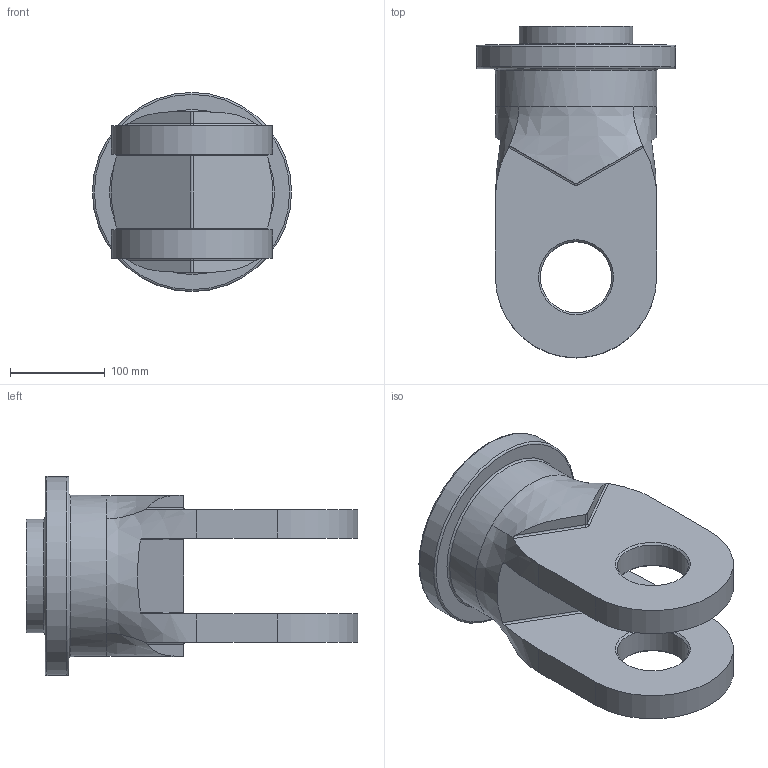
import cadquery as cq
import math

SPIGOT_LENGTH = 20.0
FLANGE_LENGTH = 25.0
NECK_LENGTH = 40.0
TRANSITION_LENGTH = 95.0
EAR_STRAIGHT_LENGTH = 85.0

SPIGOT_DIAMETER = 120.0
FLANGE_DIAMETER = 210.0
NECK_DIAMETER = 170.0
NECK_RADIUS = NECK_DIAMETER / 2

EAR_GAP = 80.0
EAR_THICKNESS = 30.0
EAR_OUTER_Z = EAR_GAP / 2 + EAR_THICKNESS
PIN_HOLE_DIAMETER = 75.0

SHOULDER_TIP_FROM_BACK = 166.7
SHOULDER_SLOPE = 30.0
SHOULDER_TIP_RADIUS = 3.0

FILLET = 2.0
HOLE_CHAMFER = 2.0

TRANSITION_SECTIONS = 9

OVERCUT = 20.0
SELECT_MARGIN = 1.0

TRANSITION_END_Y = EAR_STRAIGHT_LENGTH
TRANSITION_START_Y = TRANSITION_END_Y + TRANSITION_LENGTH
FLANGE_FRONT_Y = TRANSITION_START_Y + NECK_LENGTH
FLANGE_BACK_Y = FLANGE_FRONT_Y + FLANGE_LENGTH
BACK_Y = FLANGE_BACK_Y + SPIGOT_LENGTH
SHOULDER_TIP_Y = BACK_Y - SHOULDER_TIP_FROM_BACK


def disc(diameter, front_y, back_y):
    """Cylinder about the Y axis between two Y stations."""
    return cq.Workplane("XZ", origin=(0, back_y, 0)).circle(diameter / 2).extrude(back_y - front_y)


def make_turned_end():
    """Spigot, flange and neck, with rounded rim and filleted inner corners."""
    flange = disc(FLANGE_DIAMETER, FLANGE_FRONT_Y, FLANGE_BACK_Y).edges().fillet(FILLET)
    spigot = disc(SPIGOT_DIAMETER, FLANGE_BACK_Y, BACK_Y)
    neck = disc(NECK_DIAMETER, TRANSITION_START_Y, FLANGE_FRONT_Y)
    turned = flange.union(spigot).union(neck)
    for diameter, y in ((SPIGOT_DIAMETER, FLANGE_BACK_Y), (NECK_DIAMETER, FLANGE_FRONT_Y)):
        reach = diameter / 2 + SELECT_MARGIN
        corner = cq.selectors.BoxSelector(
            (-reach, y - SELECT_MARGIN, -reach),
            (reach, y + SELECT_MARGIN, reach),
            boundingbox=True,
        )
        turned = turned.edges(corner).fillet(FILLET)
    return turned


def transition_section(fraction):
    """Four-arc wire whose corners ease from the neck circle out to its bounding square."""
    ease = 3 * fraction**2 - 2 * fraction**3
    circle_corner = NECK_RADIUS * math.sqrt(0.5)
    corner = circle_corner + ease * (NECK_RADIUS - circle_corner)
    y = TRANSITION_START_Y - fraction * TRANSITION_LENGTH
    corners = [(corner, corner), (-corner, corner), (-corner, -corner), (corner, -corner)]
    middles = [(0, NECK_RADIUS), (-NECK_RADIUS, 0), (0, -NECK_RADIUS), (NECK_RADIUS, 0)]
    edges = []
    for i, (x, z) in enumerate(corners):
        next_x, next_z = corners[(i + 1) % len(corners)]
        middle_x, middle_z = middles[i]
        start = cq.Vector(x, y, z)
        end = cq.Vector(next_x, y, next_z)
        if fraction < 1:
            edges.append(cq.Edge.makeThreePointArc(start, cq.Vector(middle_x, y, middle_z), end))
        else:
            edges.append(cq.Edge.makeLine(start, end))
    return cq.Wire.assembleEdges(edges)


def make_transition():
    """Blend from the round neck to a square of the same width."""
    last = TRANSITION_SECTIONS - 1
    sections = [transition_section(i / last) for i in range(TRANSITION_SECTIONS)]
    return cq.Workplane(cq.Solid.makeLoft(sections))


def make_ear_block():
    """Round-ended block from which the two ears are separated."""
    return (
        cq.Workplane("XY", origin=(0, 0, -EAR_OUTER_Z))
        .moveTo(-NECK_RADIUS, TRANSITION_END_Y)
        .lineTo(-NECK_RADIUS, 0)
        .threePointArc((0, -NECK_RADIUS), (NECK_RADIUS, 0))
        .lineTo(NECK_RADIUS, TRANSITION_END_Y)
        .close()
        .extrude(2 * EAR_OUTER_Z)
    )


def shoulder_cutter(bottom_z, top_z, filleted_faces):
    """Space in front of the V shoulder, rounded where its walls meet the ear faces."""
    half_width = NECK_RADIUS + OVERCUT
    wall_end_y = SHOULDER_TIP_Y + half_width * math.tan(math.radians(SHOULDER_SLOPE))
    front_y = -NECK_RADIUS - OVERCUT
    cutter = (
        cq.Workplane("XY", origin=(0, 0, bottom_z))
        .moveTo(-half_width, front_y)
        .lineTo(-half_width, wall_end_y)
        .lineTo(0, SHOULDER_TIP_Y)
        .lineTo(half_width, wall_end_y)
        .lineTo(half_width, front_y)
        .close()
        .extrude(top_z - bottom_z)
    )
    tip = cq.selectors.NearestToPointSelector((0, SHOULDER_TIP_Y, (bottom_z + top_z) / 2))
    cutter = cutter.edges(tip).fillet(SHOULDER_TIP_RADIUS)
    wall_zone = cq.selectors.BoxSelector(
        (-half_width + SELECT_MARGIN, SHOULDER_TIP_Y - SELECT_MARGIN, bottom_z - SELECT_MARGIN),
        (half_width - SELECT_MARGIN, wall_end_y + SELECT_MARGIN, top_z + SELECT_MARGIN),
    )
    for face in filleted_faces:
        cutter = cutter.faces(face).edges(wall_zone).fillet(FILLET)
    return cutter


def make_pin_hole():
    """Pin hole through both ears, chamfered at every ear face."""
    hole_radius = PIN_HOLE_DIAMETER / 2
    bottom = cq.Workplane("XY", origin=(0, 0, -EAR_OUTER_Z))
    hole = bottom.circle(hole_radius).extrude(2 * EAR_OUTER_Z)
    for side in (1, -1):
        for face_z, inward in ((EAR_OUTER_Z, -1), (EAR_GAP / 2, 1)):
            cone = cq.Solid.makeCone(
                hole_radius + HOLE_CHAMFER,
                hole_radius,
                HOLE_CHAMFER,
                pnt=cq.Vector(0, 0, side * face_z),
                dir=cq.Vector(0, 0, side * inward),
            )
            hole = hole.union(cq.Workplane(cone))
    return hole


outside_z = NECK_RADIUS + OVERCUT
body = make_turned_end().union(make_transition())
body = body.cut(shoulder_cutter(EAR_OUTER_Z, outside_z, ["<Z"]))
body = body.cut(shoulder_cutter(-outside_z, -EAR_OUTER_Z, [">Z"]))
body = body.union(make_ear_block())
body = body.cut(shoulder_cutter(-EAR_GAP / 2, EAR_GAP / 2, ["<Z", ">Z"]))
result = body.cut(make_pin_hole())